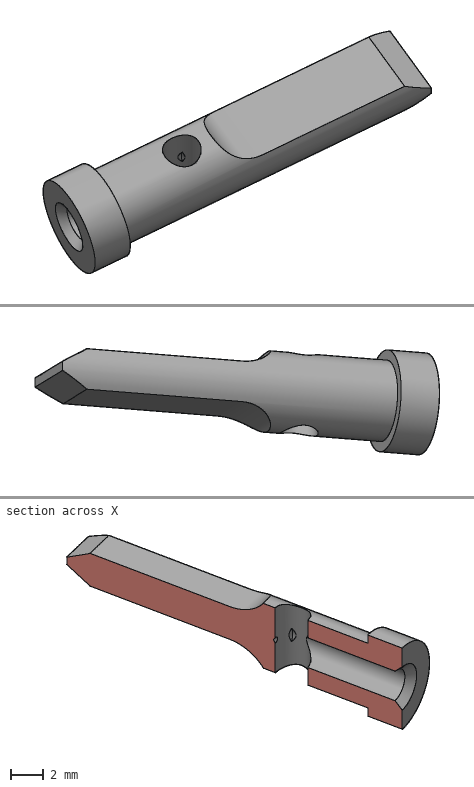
import cadquery as cq
import math

total_length = 24.65
head_diameter = 6.35
head_length = 2.55
shank_diameter = 5.08

blade_thickness = 2.59
flat_start = 12.7
run_out_radius = 3.1
tip_thickness = 0.6
tip_half_angle = 30.0

cross_hole_diameter = 2.4
cross_hole_position = 8.13
bore_diameter = 2.27
countersink_diameter = 3.33
drill_point_angle = 118.0
drill_overrun = 0.12

head_face = -total_length / 2
tip_face = total_length / 2
shank_radius = shank_diameter / 2


def make_body():
    """Round shank with a larger round head."""
    head_plane = cq.Workplane("XZ", origin=(0, head_face, 0))
    shank = head_plane.circle(shank_radius).extrude(-total_length)
    head = head_plane.circle(head_diameter / 2).extrude(-head_length)
    return shank.union(head)


def make_blade_cutter():
    """Material above the blade: arc run-out, flat and tip bevel, drawn in YZ."""
    flat_height = blade_thickness / 2
    tip_height = tip_thickness / 2
    arc_end = head_face + flat_start
    arc_center_height = flat_height + run_out_radius
    bevel_length = (flat_height - tip_height) / math.tan(math.radians(tip_half_angle))

    sweep = math.acos((arc_center_height - shank_radius) / run_out_radius)
    arc_start = arc_end - run_out_radius * math.sin(sweep)
    arc_middle = (
        arc_end - run_out_radius * math.sin(sweep / 2),
        arc_center_height - run_out_radius * math.cos(sweep / 2),
    )
    return (
        cq.Workplane("YZ")
        .moveTo(arc_start, shank_radius)
        .threePointArc(arc_middle, (arc_end, flat_height))
        .lineTo(tip_face - bevel_length, flat_height)
        .lineTo(tip_face, tip_height)
        .lineTo(tip_face, shank_radius)
        .close()
        .extrude(shank_radius, both=True)
    )


def make_cross_hole():
    """Vertical hole through the shank."""
    return (
        cq.Workplane("XY")
        .center(0, head_face + cross_hole_position)
        .circle(cross_hole_diameter / 2)
        .extrude(shank_radius, both=True)
    )


def make_bore():
    """Countersunk axial bore with a conical drill point, revolved about Y."""
    bore_radius = bore_diameter / 2
    countersink_radius = countersink_diameter / 2
    countersink_depth = countersink_radius - bore_radius
    point_length = bore_radius / math.tan(math.radians(drill_point_angle / 2))
    bore_end = head_face + cross_hole_position + cross_hole_diameter / 2 + drill_overrun
    return (
        cq.Workplane("XY")
        .moveTo(0, head_face)
        .lineTo(countersink_radius, head_face)
        .lineTo(bore_radius, head_face + countersink_depth)
        .lineTo(bore_radius, bore_end - point_length)
        .lineTo(0, bore_end)
        .close()
        .revolve(360, (0, 0, 0), (0, 1, 0))
    )


upper_cutter = make_blade_cutter()
lower_cutter = upper_cutter.mirror("XY")

result = (
    make_body()
    .cut(upper_cutter)
    .cut(lower_cutter)
    .cut(make_cross_hole())
    .cut(make_bore())
)